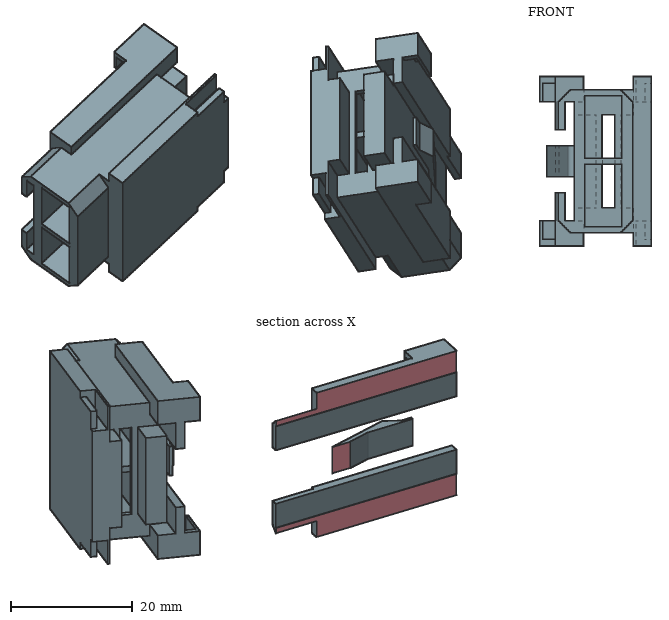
import cadquery as cq


WIDTH = 18.35
LENGTH = 34.25
HALF_HEIGHT = 13.95

BODY_LEFT = 3.08
NOSE_RIGHT = 15.28
BODY_RIGHT = 15.38
BODY_HALF_HEIGHT = 11.75
NOSE_CHAMFER = 2.0
BODY_REAR = 29.15
SHOULDER_Y = 7.7

CHANNEL_HALF_HEIGHT = BODY_HALF_HEIGHT - NOSE_CHAMFER
CHANNEL_LEFT = 4.18
CHANNEL_FLOOR = 5.7
MOUTH_HALF_HEIGHT = 5.15

RAIL_LEFT = 2.6
RAIL_RIGHT = 7.23
HOOK_FRONT = 26.75
HOOK_LIP = 0.48
HOOK_WALL = 1.1

NOTCH_LEFT = 15.75
NOTCH_FRONT = 26.55
BAR_LEFT = 17.3
BAR_REAR = LENGTH - HOOK_WALL
BAR_HALF_HEIGHT = HALF_HEIGHT - HOOK_WALL

CAVITY_LEFT = 7.43
CAVITY_RIGHT = 13.5
CAVITY_HALF_HEIGHT = 10.72
DIVIDER_HALF = 0.5
END_WALL = 1.03
SLOT_LEFT = 10.28
SLOT_RIGHT = 12.33
SLOT_HALF_HEIGHT = 7.65

REAR_GAP_LEFT = 9.25
REAR_GAP_RIGHT = 13.35

LATCH_HALF_HEIGHT = 2.57
LATCH_TIP_Y = 26.55
LATCH_TIP_THICKNESS = 0.55
RIDGE_REAR_Y = 24.7
RIDGE_X = 1.15
RIDGE_Y = 21.9
BEND_Y = 17.98
ROOT_ARC_X = 4.6
ROOT_ARC_Y = 9.18
ROOT_Y = 8.22


def block(x_range, y_range, z_range):
    """Axis-aligned box between pairs of limits."""
    (x0, x1), (y0, y1), (z0, z1) = x_range, y_range, z_range
    return cq.Workplane("XY").box(x1 - x0, y1 - y0, z1 - z0, centered=False).translate((x0, y0, z0))


def mid_block(x_range, y_range, half_height):
    """Box centred on Z = 0."""
    return block(x_range, y_range, (-half_height, half_height))


def both_sides(upper):
    """The upper feature together with its mirror image below Z = 0."""
    return upper.union(upper.mirror("XY"))


def make_body():
    nose = mid_block((BODY_LEFT, NOSE_RIGHT), (0, SHOULDER_Y), BODY_HALF_HEIGHT)
    nose = nose.edges("|Y").chamfer(NOSE_CHAMFER)
    main = mid_block((BODY_LEFT, BODY_RIGHT), (SHOULDER_Y, BODY_REAR), BODY_HALF_HEIGHT)
    left_wall = mid_block((CHANNEL_FLOOR, REAR_GAP_LEFT), (BODY_REAR, LENGTH), SLOT_HALF_HEIGHT)
    right_wall = mid_block((REAR_GAP_RIGHT, BODY_RIGHT), (BODY_REAR, LENGTH), SLOT_HALF_HEIGHT)
    return nose.union(main).union(left_wall).union(right_wall)


def make_left_rails():
    rail = block((RAIL_LEFT, RAIL_RIGHT), (SHOULDER_Y, LENGTH), (CHANNEL_HALF_HEIGHT, HALF_HEIGHT))
    lip = block(
        (RAIL_LEFT, CHANNEL_LEFT), (SHOULDER_Y, LENGTH), (MOUTH_HALF_HEIGHT, CHANNEL_HALF_HEIGHT)
    )
    hook = block((0, RAIL_LEFT), (HOOK_FRONT, LENGTH), (CHANNEL_HALF_HEIGHT, HALF_HEIGHT))
    pocket = block(
        (HOOK_LIP, RAIL_LEFT), (HOOK_FRONT, BAR_REAR), (CHANNEL_HALF_HEIGHT, BAR_HALF_HEIGHT)
    )
    return both_sides(rail.union(lip).union(hook.cut(pocket)))


def make_right_flange():
    flange = mid_block((BODY_RIGHT, WIDTH), (SHOULDER_Y, LENGTH), HALF_HEIGHT)
    notch = block((NOTCH_LEFT, WIDTH), (NOTCH_FRONT, LENGTH), (CHANNEL_HALF_HEIGHT, HALF_HEIGHT))
    bar = block((BAR_LEFT, WIDTH), (NOTCH_FRONT, BAR_REAR), (CHANNEL_HALF_HEIGHT, BAR_HALF_HEIGHT))
    return flange.cut(both_sides(notch.cut(bar)))


def make_latch_channel():
    channel = mid_block((CHANNEL_LEFT, CHANNEL_FLOOR), (0, LENGTH), CHANNEL_HALF_HEIGHT)
    mouth = mid_block((0, CHANNEL_FLOOR), (0, LENGTH), MOUTH_HALF_HEIGHT)
    return channel.union(mouth)


def make_cavities():
    cavity = block(
        (CAVITY_LEFT, CAVITY_RIGHT), (0, BODY_REAR - END_WALL), (DIVIDER_HALF, CAVITY_HALF_HEIGHT)
    )
    slot = mid_block((SLOT_LEFT, SLOT_RIGHT), (BODY_REAR - END_WALL, BODY_REAR), SLOT_HALF_HEIGHT)
    return both_sides(cavity).union(slot)


def make_latch():
    slope = (ROOT_ARC_X - RIDGE_X) / (RIDGE_Y - ROOT_ARC_Y)
    inner_x = RAIL_LEFT + LATCH_TIP_THICKNESS
    inner_root_y = BEND_Y - (CHANNEL_FLOOR - inner_x) / slope
    profile = (
        cq.Workplane("XY", origin=(0, 0, -LATCH_HALF_HEIGHT))
        .moveTo(inner_x, LATCH_TIP_Y)
        .lineTo(RAIL_LEFT, LATCH_TIP_Y)
        .lineTo(RAIL_LEFT, RIDGE_REAR_Y)
        .lineTo(RIDGE_X, RIDGE_Y)
        .lineTo(ROOT_ARC_X, ROOT_ARC_Y)
        .tangentArcPoint((CHANNEL_FLOOR, ROOT_Y), relative=False)
        .lineTo(CHANNEL_FLOOR, inner_root_y)
        .lineTo(inner_x, BEND_Y)
        .close()
    )
    return profile.extrude(2 * LATCH_HALF_HEIGHT)


housing = make_body().union(make_left_rails()).union(make_right_flange())
result = housing.cut(make_latch_channel()).cut(make_cavities()).union(make_latch())